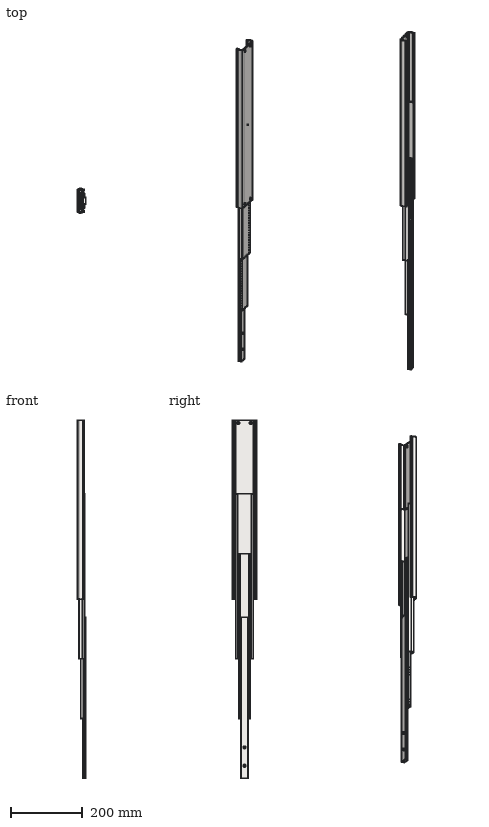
import cadquery as cq


TOTAL_LENGTH = 1000.0
TOTAL_DEPTH = 25.0
TOTAL_WIDTH = 69.0
WEB_WALL = 3.0
FLANK_WALL = 4.5

OUTER_LENGTH = TOTAL_LENGTH / 2
OUTER_HALF = TOTAL_WIDTH / 2
OUTER_WEB_HALF = 25.0
OUTER_CORNER_X = 1.5
OUTER_CORNER_HALF = 31.0
OUTER_RACE_START_X = 5.0
OUTER_RACE_END_X = 14.0
OUTER_RACE_BULGE = 1.5
OUTER_LIP_START_X = 16.0
OUTER_LIP_END_X = 20.0
OUTER_LIP_HALF = 32.0

EXTENSION = OUTER_LENGTH / 3

CHANNEL_LENGTH = 461.0

MIDDLE_WEB_X = 5.0
MIDDLE_HALF = 25.0
MIDDLE_WEB_HALF = 23.0
MIDDLE_GROOVE_START_X = 6.0
MIDDLE_GROOVE_END_X = 14.0
MIDDLE_GROOVE_DEPTH = 1.5
MIDDLE_BEND_X = 18.0
MIDDLE_BEND_HALF = 23.0
MIDDLE_LIP_X = 21.0
MIDDLE_LIP_HALF = 19.0

SLIM_WEB_X = 10.0
SLIM_HALF = 16.0
SLIM_GROOVE_FLOOR_X = 17.0
SLIM_GROOVE_END_X = 20.0
SLIM_END_X = 22.0

BAR_LENGTH = 450.0
BAR_HALF = 10.0
BAR_FACE_X = 16.0
BAR_GROOVE_FLOOR_X = 20.0
BAR_GROOVE_END_X = 23.0

V_GROOVE_DEPTH = 1.5

HOLE_DIAMETER = 6.0
CENTRE_HOLE_DIAMETER = 3.0
CORNER_HOLE_Y = 17.0
CORNER_HOLE_INSET = 8.0
BAR_HOLE_HEIGHTS = (35.0, 86.0)


def mirrored_rail(half_section, bottom, length):
    """Extrude a half cross-section along Z and join it with its mirror image."""
    half = half_section.close().extrude(length).translate((0, 0, bottom))
    return half.union(half.mirror("XZ")).clean()


def drill_holes(rail, places, diameter):
    """Drill holes along X through a rail at (y, z) places."""
    drills = cq.Workplane("YZ").pushPoints(places).circle(diameter / 2).extrude(TOTAL_DEPTH)
    return rail.cut(drills)


def make_outer_rail():
    bottom = TOTAL_LENGTH - OUTER_LENGTH
    race_middle_x = (OUTER_RACE_START_X + OUTER_RACE_END_X) / 2
    race_edge_half = OUTER_HALF - OUTER_RACE_BULGE
    section = (
        cq.Workplane("XY")
        .lineTo(0, OUTER_WEB_HALF)
        .tangentArcPoint((OUTER_CORNER_X, OUTER_CORNER_HALF), relative=False)
        .lineTo(OUTER_RACE_START_X, race_edge_half)
        .threePointArc((race_middle_x, OUTER_HALF), (OUTER_RACE_END_X, race_edge_half))
        .lineTo(OUTER_LIP_START_X, OUTER_LIP_HALF)
        .lineTo(OUTER_LIP_END_X, OUTER_LIP_HALF)
        .lineTo(OUTER_LIP_END_X, OUTER_LIP_HALF - FLANK_WALL)
        .lineTo(OUTER_LIP_START_X, OUTER_LIP_HALF - FLANK_WALL)
        .lineTo(OUTER_RACE_END_X, race_edge_half - FLANK_WALL)
        .threePointArc(
            (race_middle_x, OUTER_HALF - FLANK_WALL),
            (OUTER_RACE_START_X, race_edge_half - FLANK_WALL),
        )
        .lineTo(WEB_WALL, OUTER_WEB_HALF)
        .lineTo(WEB_WALL, 0)
    )
    rail = mirrored_rail(section, bottom, OUTER_LENGTH)
    corner_places = [
        (y, z)
        for y in (-CORNER_HOLE_Y, CORNER_HOLE_Y)
        for z in (bottom + CORNER_HOLE_INSET, TOTAL_LENGTH - CORNER_HOLE_INSET)
    ]
    rail = drill_holes(rail, corner_places, HOLE_DIAMETER)
    return drill_holes(rail, [(0, bottom + OUTER_LENGTH / 2)], CENTRE_HOLE_DIAMETER)


def make_middle_channel():
    groove_x = (MIDDLE_GROOVE_START_X + MIDDLE_GROOVE_END_X) / 2
    floor_half = MIDDLE_HALF - MIDDLE_GROOVE_DEPTH
    section = (
        cq.Workplane("XY")
        .moveTo(MIDDLE_WEB_X, 0)
        .lineTo(MIDDLE_WEB_X, MIDDLE_WEB_HALF)
        .lineTo(MIDDLE_GROOVE_START_X, MIDDLE_HALF)
        .threePointArc((groove_x, floor_half), (MIDDLE_GROOVE_END_X, MIDDLE_HALF))
        .threePointArc((MIDDLE_BEND_X, MIDDLE_BEND_HALF), (MIDDLE_LIP_X, MIDDLE_LIP_HALF))
        .lineTo(MIDDLE_WEB_X + WEB_WALL, MIDDLE_LIP_HALF)
        .lineTo(MIDDLE_WEB_X + WEB_WALL, 0)
    )
    return mirrored_rail(section, 2 * EXTENSION, CHANNEL_LENGTH)


def make_slim_channel():
    floor_half = SLIM_HALF - V_GROOVE_DEPTH
    section = (
        cq.Workplane("XY")
        .moveTo(SLIM_WEB_X, 0)
        .lineTo(SLIM_WEB_X, SLIM_HALF)
        .lineTo(SLIM_GROOVE_FLOOR_X, floor_half)
        .lineTo(SLIM_GROOVE_END_X, SLIM_HALF)
        .lineTo(SLIM_END_X, SLIM_HALF)
        .lineTo(SLIM_END_X, SLIM_HALF - FLANK_WALL)
        .lineTo(SLIM_WEB_X + WEB_WALL, SLIM_HALF - FLANK_WALL)
        .lineTo(SLIM_WEB_X + WEB_WALL, 0)
    )
    return mirrored_rail(section, EXTENSION, CHANNEL_LENGTH)


def make_inner_bar():
    section = (
        cq.Workplane("XY")
        .moveTo(BAR_FACE_X, 0)
        .lineTo(BAR_FACE_X, BAR_HALF)
        .lineTo(BAR_GROOVE_FLOOR_X, BAR_HALF - V_GROOVE_DEPTH)
        .lineTo(BAR_GROOVE_END_X, BAR_HALF)
        .lineTo(TOTAL_DEPTH, BAR_HALF)
        .lineTo(TOTAL_DEPTH, 0)
    )
    bar = mirrored_rail(section, 0, BAR_LENGTH)
    return drill_holes(bar, [(0, z) for z in BAR_HOLE_HEIGHTS], HOLE_DIAMETER)


outer_rail = make_outer_rail()
middle_channel = make_middle_channel()
slim_channel = make_slim_channel()
inner_bar = make_inner_bar()

result = cq.Compound.makeCompound(
    [outer_rail.val(), middle_channel.val(), slim_channel.val(), inner_bar.val()]
)